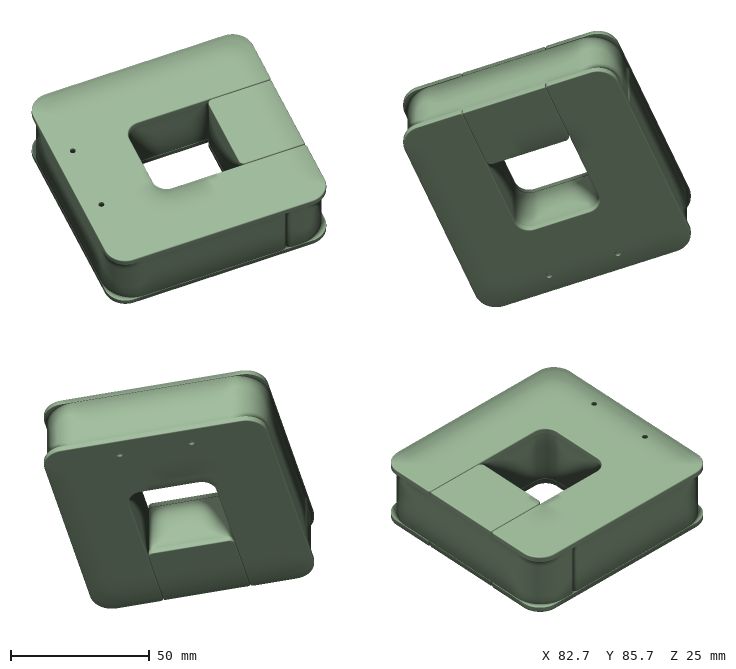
import cadquery as cq

WIDTH = 82.7
LENGTH = 85.7
HEIGHT = 25.0

PLATE_THICKNESS = 2.1
PLATE_CORNER_RADIUS = 8.0
EDGE_RADIUS = 0.4
SLOT_MOUTH_RADIUS = 1.0

WALL_INSET = 0.2
REAR_WALL_INSET = 0.3
WALL_CORNER_RADIUS = 12.0

WINDOW_WIDTH = 32.2
WINDOW_FRONT_WALL = 28.0
WINDOW_CORNER_RADIUS = 5.5

REAR_BLOCK_DEPTH = 17.8
TONGUE_LENGTH = 25.2
TONGUE_REAR_INSET = 0.2
TONGUE_CLEARANCE = 0.1
TONGUE_CORNER_RADIUS = 2.0
JOINT_RADIUS = 1.9

HOLE_DIAMETER = 2.1
HOLE_SPACING = 26.65
HOLE_FRONT_DISTANCE = 6.9

HALF_HEIGHT = HEIGHT / 2
WALL_HEIGHT = HALF_HEIGHT - PLATE_THICKNESS
FRONT_Y = -LENGTH / 2
REAR_Y = LENGTH / 2
WINDOW_Y = FRONT_Y + WINDOW_FRONT_WALL
JOINT_Y = REAR_Y - REAR_BLOCK_DEPTH
TONGUE_REAR_Y = REAR_Y - TONGUE_REAR_INSET
TONGUE_FRONT_Y = TONGUE_REAR_Y - TONGUE_LENGTH
WALL_WIDTH = WIDTH - 2 * WALL_INSET
TONGUE_WIDTH = WINDOW_WIDTH - 2 * TONGUE_CLEARANCE


def block(width, front_y, rear_y, bottom_z, height):
    """Box centred on X that spans front_y to rear_y."""
    box = cq.Workplane("XY").box(width, rear_y - front_y, height, centered=(True, False, False))
    return box.translate((0, front_y, bottom_z))


def window(inset):
    """Cutter for the slot that is open at the rear, grown into the material by the inset."""
    cutter = block(WINDOW_WIDTH + 2 * inset, WINDOW_Y - inset, REAR_Y, 0, HALF_HEIGHT)
    return cutter.edges("|Z and <Y").fillet(WINDOW_CORNER_RADIUS)


def screw_holes():
    """Cutters for the through holes near the front edge."""
    hole_y = FRONT_Y + HOLE_FRONT_DISTANCE
    places = [(side * HOLE_SPACING / 2, hole_y) for side in (-1, 1)]
    return cq.Workplane("XY").pushPoints(places).circle(HOLE_DIAMETER / 2).extrude(HALF_HEIGHT)


def front_plate():
    """U-shaped cover plate with a rounded rim; the corners at the slot mouth are rounded more."""
    plate = block(WIDTH, FRONT_Y, REAR_Y, WALL_HEIGHT, PLATE_THICKNESS)
    plate = plate.edges("|Z").fillet(PLATE_CORNER_RADIUS).cut(window(0))
    mouth_corner = (WINDOW_WIDTH / 2 + EDGE_RADIUS, REAR_Y + EDGE_RADIUS, HALF_HEIGHT)
    mouth_opposite = (-WINDOW_WIDTH / 2 - EDGE_RADIUS, REAR_Y - EDGE_RADIUS, WALL_HEIGHT)
    slot_mouth = plate.edges("|Z").edges(cq.selectors.BoxSelector(mouth_opposite, mouth_corner))
    plate = slot_mouth.fillet(SLOT_MOUTH_RADIUS)
    return plate.faces(">Z").edges().fillet(EDGE_RADIUS)


def front_wall():
    """U-shaped wall that ends at the joint with the rear block."""
    wall = block(WALL_WIDTH, FRONT_Y + WALL_INSET, JOINT_Y, 0, WALL_HEIGHT)
    wall = wall.edges("|Z and <Y").fillet(WALL_CORNER_RADIUS)
    wall = wall.edges("|Z and >Y").fillet(JOINT_RADIUS)
    return wall.cut(window(WALL_INSET))


def rear_wall():
    """Wide block behind the joint, with a narrow nose that enters the window."""
    bar = block(WALL_WIDTH, JOINT_Y, REAR_Y - REAR_WALL_INSET, 0, WALL_HEIGHT)
    bar = bar.edges("|Z and >Y").fillet(WALL_CORNER_RADIUS)
    bar = bar.edges("|Z and <Y").fillet(JOINT_RADIUS)

    nose_width = TONGUE_WIDTH - 2 * WALL_INSET
    nose = block(nose_width, TONGUE_FRONT_Y + WALL_INSET, JOINT_Y + JOINT_RADIUS, 0, WALL_HEIGHT)
    nose = nose.edges("|Z and <Y").fillet(TONGUE_CORNER_RADIUS)
    return bar.union(nose)


def tongue_plate():
    """Cover plate of the rear housing, which fills the rear of the window."""
    plate = block(TONGUE_WIDTH, TONGUE_FRONT_Y, TONGUE_REAR_Y, WALL_HEIGHT, PLATE_THICKNESS)
    plate = plate.edges("|Z and <Y").fillet(TONGUE_CORNER_RADIUS)
    plate = plate.edges("|Z and >Y").fillet(EDGE_RADIUS)
    return plate.faces(">Z").edges().fillet(EDGE_RADIUS)


def front_housing_half():
    """Upper half of the front housing."""
    return front_plate().union(front_wall()).cut(screw_holes())


def rear_housing_half():
    """Upper half of the rear housing."""
    return tongue_plate().union(rear_wall())


def lower(upper_half):
    """Mirror image of an upper half below the split plane."""
    return upper_half.mirror("XY")


front_upper = front_housing_half()
front_lower = lower(front_upper)
rear_upper = rear_housing_half()
rear_lower = lower(rear_upper)

result = cq.Compound.makeCompound(
    [front_upper.val(), front_lower.val(), rear_upper.val(), rear_lower.val()]
)